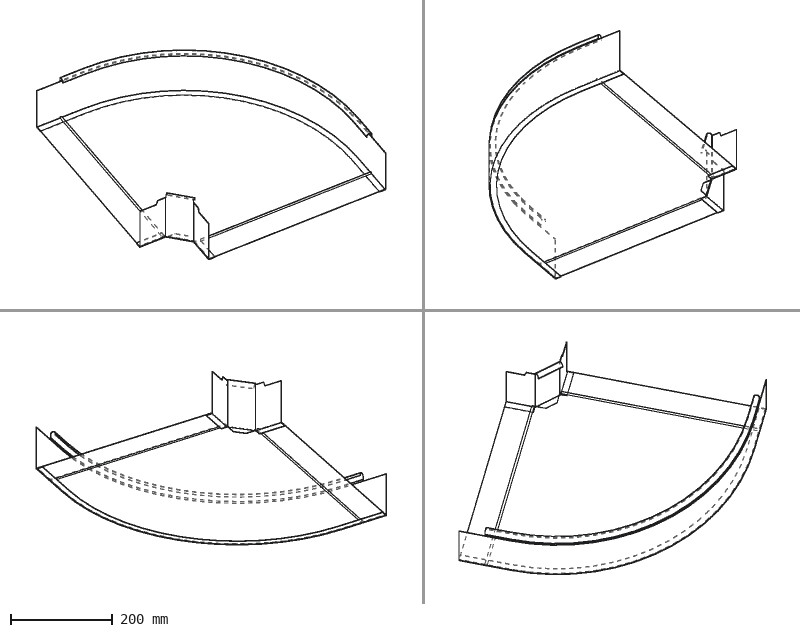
import cadquery as cq
import math


SIZE = 503.0
HEIGHT = 113.0
SHEET = 1.25
BEND = 2.5
FLANGE = 15.0
ARM_WIDTH = 405.0
TURN = 90
ARC_RADIUS = 399.5
WALL_TOP = 97.5
ROLL_WIDTH = 12.0
LIP = 3.0
JOG = 1.5
JOG_HEIGHT = 3.0
OUTER_ROLL_GAP = 52.5
BEVEL_ANGLE = 45
BEVEL = 39.5
TAB_LENGTH = 18.0
TAB_SLOPE = 3.0
BEAD_RADIUS = 2.5
BEAD_OFFSET = 54.5

ARM_EDGE = SIZE - ARM_WIDTH
ARC_START = SIZE - ARC_RADIUS
ROLL_RADIUS = ROLL_WIDTH / 2
ROLL_CENTRE_Z = HEIGHT - ROLL_RADIUS
ROLL_LENGTH = ARC_START - OUTER_ROLL_GAP
BEVEL_START = ARM_EDGE - BEVEL
BEVEL_LENGTH = BEVEL * math.sqrt(2)
FLOOR_TOP = 2 * SHEET
DIAGONAL = math.sqrt(0.5)



def section_plane(origin, inward):
    """Upright plane through `origin`; its normal runs along the wall, `inward` on its left."""
    across_x, across_y = inward
    return cq.Plane(origin=origin, xDir=(across_x, across_y, 0), normal=(across_y, -across_x, 0))


def foot_section(plane):
    """Bottom flange with the bend that leads into the wall."""
    middle = BEND * (1 - DIAGONAL)
    inner_middle = BEND - (BEND - SHEET) * DIAGONAL
    return (
        cq.Workplane(plane)
        .moveTo(0, BEND)
        .threePointArc((middle, middle), (BEND, 0))
        .lineTo(FLANGE, 0)
        .lineTo(FLANGE, SHEET)
        .lineTo(BEND, SHEET)
        .threePointArc((inner_middle, inner_middle), (SHEET, BEND))
        .close()
    )


def roll_section(plane, offset, bottom):
    """Upright sheet from `bottom` to the roll, which ends in a short lip."""
    left = offset
    right = offset + ROLL_WIDTH
    centre = offset + ROLL_RADIUS
    lip_end = ROLL_CENTRE_Z - LIP
    return (
        cq.Workplane(plane)
        .moveTo(left, bottom)
        .lineTo(left, ROLL_CENTRE_Z)
        .threePointArc((centre, HEIGHT), (right, ROLL_CENTRE_Z))
        .lineTo(right, lip_end)
        .lineTo(right - SHEET, lip_end)
        .lineTo(right - SHEET, ROLL_CENTRE_Z)
        .threePointArc((centre, HEIGHT - SHEET), (left + SHEET, ROLL_CENTRE_Z))
        .lineTo(left + SHEET, bottom)
        .close()
    )


def jog_section(plane):
    """Slanted step between the wall and the upright below the roll."""
    return cq.Workplane(plane).polyline([
        (0, WALL_TOP),
        (JOG, WALL_TOP + JOG_HEIGHT),
        (JOG + SHEET, WALL_TOP + JOG_HEIGHT),
        (SHEET, WALL_TOP),
    ]).close()


def web_section(plane):
    """Straight upright sheet between the bend and the wall top."""
    return cq.Workplane(plane).moveTo(0, BEND).rect(SHEET, WALL_TOP - BEND, centered=False)


def outer_sections(plane):
    """Lower and upper parts of the outer wall section."""
    lower = [foot_section(plane), web_section(plane)]
    upper = [jog_section(plane), roll_section(plane, JOG, WALL_TOP + JOG_HEIGHT)]
    return lower, upper


def joined(pieces):
    """Pieces of one body, fused into a single solid."""
    body = pieces[0]
    for piece in pieces[1:]:
        body = body.union(piece)
    return body


def make_outer_wall():
    """Curved wall with a straight run at each open end."""
    pieces = []
    runs = [
        (section_plane((0, ARC_START, 0), (1, 0)), 1),
        (section_plane((ARC_RADIUS, SIZE, 0), (0, -1)), -1),
    ]
    for plane, direction in runs:
        lower, upper = outer_sections(plane)
        pieces += [section.extrude(direction * ARC_START) for section in lower]
        pieces += [section.extrude(direction * ROLL_LENGTH) for section in upper]
    lower, upper = outer_sections(section_plane((0, ARC_START, 0), (1, 0)))
    for section in lower + upper:
        pieces.append(section.revolve(TURN, (ARC_RADIUS, 5, 0), (ARC_RADIUS, 0, 0)))
    return joined(pieces)


def inner_face_path(inset):
    """Corner points of the inner wall, offset into the tray by `inset`."""
    corner_shift = inset * math.tan(math.radians(BEVEL_ANGLE / 2))
    return [
        (ARM_WIDTH - inset, 0),
        (ARM_WIDTH - inset, BEVEL_START + corner_shift),
        (ARM_WIDTH + BEVEL - corner_shift, ARM_EDGE + inset),
        (SIZE, ARM_EDGE + inset),
    ]


def inner_web():
    """Upright sheet along both arms and the bevel, up to the height of the tabs."""
    outline = inner_face_path(0) + inner_face_path(SHEET)[::-1]
    return (
        cq.Workplane(cq.Plane.XY(origin=(0, 0, BEND)))
        .polyline(outline)
        .close()
        .extrude(ROLL_CENTRE_Z - BEND)
    )


def tab_cutter(plane):
    """Clears the arm above the wall top, leaving the sloped tab next to the bevel."""
    return (
        cq.Workplane(plane)
        .polyline([
            (0, WALL_TOP),
            (BEVEL_START - TAB_LENGTH - TAB_SLOPE, WALL_TOP),
            (BEVEL_START - TAB_LENGTH, ROLL_CENTRE_Z),
            (BEVEL_START - TAB_LENGTH, HEIGHT),
            (0, HEIGHT),
        ])
        .close()
        .extrude(FLANGE, both=True)
    )


def bevel_foot(plane):
    """Bevel flange whose ends taper at 45 degrees."""
    taper = (
        cq.Workplane("XY")
        .polyline([
            (ARM_WIDTH, BEVEL_START),
            (ARM_WIDTH + BEVEL, ARM_EDGE),
            (ARM_WIDTH, ARM_EDGE),
        ])
        .close()
        .extrude(BEND)
    )
    return foot_section(plane).extrude(BEVEL_LENGTH).intersect(taper)


def make_inner_wall():
    """Bevelled wall with a flange per straight stretch and a roll on the bevel."""
    bevel = section_plane((ARM_WIDTH, BEVEL_START, 0), (-DIAGONAL, DIAGONAL))
    y_arm = section_plane((ARM_WIDTH, 0, 0), (-1, 0))
    x_arm = section_plane((ARM_WIDTH + BEVEL, ARM_EDGE, 0), (0, 1))
    web = inner_web()
    web = web.cut(tab_cutter(section_plane((ARM_WIDTH, 0, 0), (0, 1))))
    web = web.cut(tab_cutter(section_plane((SIZE, ARM_EDGE, 0), (-1, 0))))
    return joined([
        web,
        bevel_foot(bevel),
        foot_section(y_arm).extrude(BEVEL_START),
        foot_section(x_arm).extrude(BEVEL_START),
        roll_section(bevel, 0, WALL_TOP).extrude(BEVEL_LENGTH),
    ])


def make_floor():
    """Flat sheet on the flanges with a half-round bead across each arm."""
    near = BEND
    far = SIZE - BEND
    arc_middle = (ARC_RADIUS - BEND) * DIAGONAL
    inner_edge = inner_face_path(BEND)
    sheet = (
        cq.Workplane(cq.Plane.XY(origin=(0, 0, SHEET)))
        .moveTo(near, 0)
        .lineTo(near, ARC_START)
        .threePointArc((ARC_RADIUS - arc_middle, ARC_START + arc_middle), (ARC_RADIUS, far))
        .lineTo(SIZE, far)
    )
    for point in inner_edge[::-1]:
        sheet = sheet.lineTo(*point)
    sheet = sheet.close().extrude(SHEET)
    bead_length = ARM_WIDTH - 2 * BEND
    beads = [
        section_plane((near, BEAD_OFFSET, FLOOR_TOP), (0, 1)),
        section_plane((SIZE - BEAD_OFFSET, far, FLOOR_TOP), (1, 0)),
    ]
    for plane in beads:
        bead = (
            cq.Workplane(plane)
            .moveTo(-BEAD_RADIUS, 0)
            .threePointArc((0, BEAD_RADIUS), (BEAD_RADIUS, 0))
            .close()
            .extrude(bead_length)
        )
        sheet = sheet.union(bead)
    return sheet


outer_wall = make_outer_wall()
inner_wall = make_inner_wall()
floor = make_floor()

result = cq.Compound.makeCompound([
    outer_wall.solids().val(),
    inner_wall.solids().val(),
    floor.solids().val(),
])